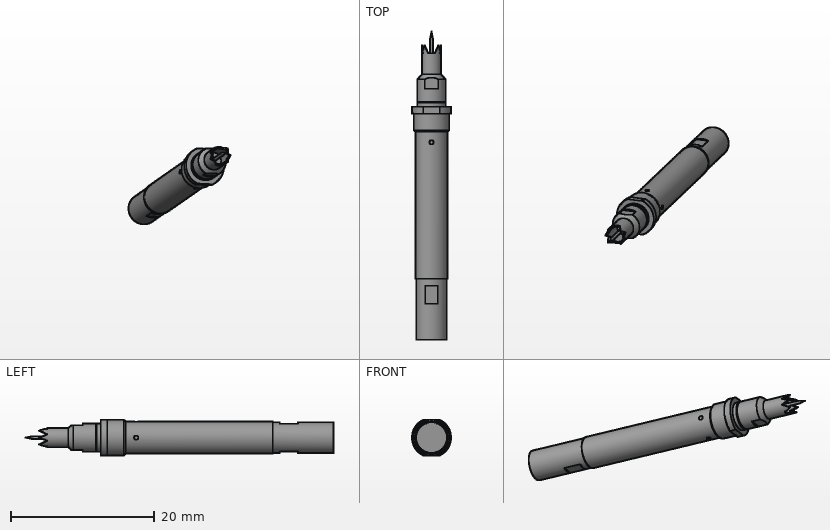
import cadquery as cq
import math

REAR_END = 0.0
BARREL_START = 8.5
BARREL_END = 29.0
COLLAR_START = 29.25
FLANGE_START = 31.55
FLANGE_END = 32.5
GROOVE_START = 33.05
GROOVE_END = 33.2
CONE_START = 36.3
CONE_END = 37.0
CROWN_TIP = 41.1
NEEDLE_SHOULDER = 41.95
NEEDLE_TIP = 43.0

REAR_DIAMETER = 4.3
BARREL_DIAMETER = 4.5
COLLAR_DIAMETER = 5.0
FLANGE_DIAMETER = 5.48
SLEEVE_DIAMETER = 4.0
GROOVE_DIAMETER = 3.9
TUBE_DIAMETER = 2.7
TUBE_BORE_DIAMETER = 2.2
NEEDLE_DIAMETER = 0.45

NOTCH_BOTTOM = 39.97
DIAGONAL_TOOTH_OFFSET = TUBE_DIAMETER / 2 * math.sin(math.radians(45))
NOTCH_ROOT_OFFSET = 0.45
MOUTH_DIAMETER = 2.66
MOUTH_DEPTH = 0.4
BORE_BOTTOM = CONE_END

FLANGE_FLAT_HEIGHT = COLLAR_DIAMETER
SLEEVE_FLAT_HEIGHT = 3.5
SLEEVE_FLAT_START = 35.0
REAR_FLAT_HEIGHT = 3.9
REAR_FLAT_START = 5.0
REAR_FLAT_END = 7.5

DIMPLE_DIAMETER = 0.6
DIMPLE_DEPTH = 0.15
DIMPLE_STATION = 27.55
QUARTER_ANGLES = (0, 90, 180, 270)


def revolve_about_y(profile):
    """Turn a closed outline of (radius, station) points about the Y axis."""
    return cq.Workplane("XY").polyline(profile).close().revolve(360, (0, 0, 0), (0, 1, 0))


def turned_body():
    """Stepped solid of revolution, from the rear end face to the tips of the crown."""
    rear, barrel, collar = REAR_DIAMETER / 2, BARREL_DIAMETER / 2, COLLAR_DIAMETER / 2
    flange, sleeve, tube = FLANGE_DIAMETER / 2, SLEEVE_DIAMETER / 2, TUBE_DIAMETER / 2
    groove = GROOVE_DIAMETER / 2
    profile = [
        (0, REAR_END),
        (rear, REAR_END),
        (rear, BARREL_START),
        (barrel, BARREL_START),
        (barrel, BARREL_END),
        (collar, COLLAR_START),
        (collar, FLANGE_START),
        (flange, FLANGE_START),
        (flange, FLANGE_END),
        (sleeve, FLANGE_END),
        (sleeve, GROOVE_START),
        (groove, GROOVE_START),
        (groove, GROOVE_END),
        (sleeve, GROOVE_END),
        (sleeve, CONE_START),
        (tube, CONE_END),
        (tube, CROWN_TIP),
        (0, CROWN_TIP),
    ]
    return revolve_about_y(profile)


def cut_flats(body, height, start, end):
    """Cut parallel flats, height apart, on the top and bottom between two stations."""
    for side in (1, -1):
        cutter = cq.Workplane("XY").box(FLANGE_DIAMETER, end - start, FLANGE_DIAMETER)
        offset = side * (height + FLANGE_DIAMETER) / 2
        body = body.cut(cutter.translate((0, (start + end) / 2, offset)))
    return body


def bore_tube(body):
    """Bore the tube and countersink its mouth, so that each tooth slopes out to a sharp tip."""
    bore, mouth = TUBE_BORE_DIAMETER / 2, MOUTH_DIAMETER / 2
    profile = [
        (0, BORE_BOTTOM),
        (bore, BORE_BOTTOM),
        (bore, CROWN_TIP - MOUTH_DEPTH),
        (mouth, CROWN_TIP),
        (0, CROWN_TIP),
    ]
    return body.cut(revolve_about_y(profile))


def cut_crown(body):
    """Cut a flat-bottomed notch across the tube along Z, and a pair of V notches along X."""
    wide_notch = (
        cq.Workplane("XY")
        .polyline([
            (-DIAGONAL_TOOTH_OFFSET, CROWN_TIP),
            (-NOTCH_ROOT_OFFSET, NOTCH_BOTTOM),
            (NOTCH_ROOT_OFFSET, NOTCH_BOTTOM),
            (DIAGONAL_TOOTH_OFFSET, CROWN_TIP),
        ])
        .close()
        .extrude(TUBE_DIAMETER, both=True)
    )
    body = body.cut(wide_notch)
    for side in (1, -1):
        v_notch = (
            cq.Workplane("YZ")
            .polyline([
                (CROWN_TIP, 0),
                (NOTCH_BOTTOM, side * NOTCH_ROOT_OFFSET),
                (CROWN_TIP, side * DIAGONAL_TOOTH_OFFSET),
            ])
            .close()
            .extrude(TUBE_DIAMETER, both=True)
        )
        body = body.cut(v_notch)
    return body


def needle():
    """Pointed contact needle standing on the floor of the bore."""
    radius = NEEDLE_DIAMETER / 2
    profile = [
        (0, BORE_BOTTOM),
        (radius, BORE_BOTTOM),
        (radius, NEEDLE_SHOULDER),
        (0, NEEDLE_TIP),
    ]
    return revolve_about_y(profile)


def cut_dimples(body):
    """Press a spherical dimple into each of the four sides of the barrel."""
    sphere_radius = ((DIMPLE_DIAMETER / 2) ** 2 + DIMPLE_DEPTH**2) / (2 * DIMPLE_DEPTH)
    sphere_height = BARREL_DIAMETER / 2 - DIMPLE_DEPTH + sphere_radius
    sphere = cq.Workplane("XY").sphere(sphere_radius).translate((0, DIMPLE_STATION, sphere_height))
    for angle in QUARTER_ANGLES:
        body = body.cut(sphere.rotate((0, 0, 0), (0, 1, 0), angle))
    return body


result = turned_body()
result = cut_flats(result, FLANGE_FLAT_HEIGHT, FLANGE_START, FLANGE_END)
result = cut_flats(result, SLEEVE_FLAT_HEIGHT, SLEEVE_FLAT_START, CONE_END)
result = cut_flats(result, REAR_FLAT_HEIGHT, REAR_FLAT_START, REAR_FLAT_END)
result = cut_dimples(result)
result = bore_tube(result)
result = cut_crown(result)
result = result.union(needle())